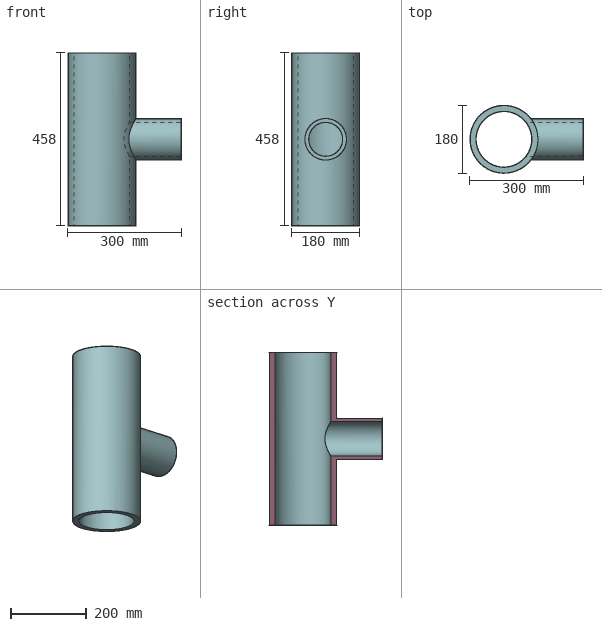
import cadquery as cq

main_length = 458.0
main_diameter = 180.0
main_bore = 147.0

branch_reach = 210.0
branch_diameter = 110.0
branch_bore = branch_diameter * main_bore / main_diameter


def upright_cylinder(diameter):
    """Cylinder along Z over the full length of the main pipe."""
    return cq.Workplane("XY").circle(diameter / 2).extrude(main_length / 2, both=True)


def branch_cylinder(diameter):
    """Cylinder along +X from the main axis to the branch end face."""
    return cq.Workplane("YZ").circle(diameter / 2).extrude(branch_reach)


outside = upright_cylinder(main_diameter).union(branch_cylinder(branch_diameter))

result = outside.cut(upright_cylinder(main_bore)).cut(branch_cylinder(branch_bore))